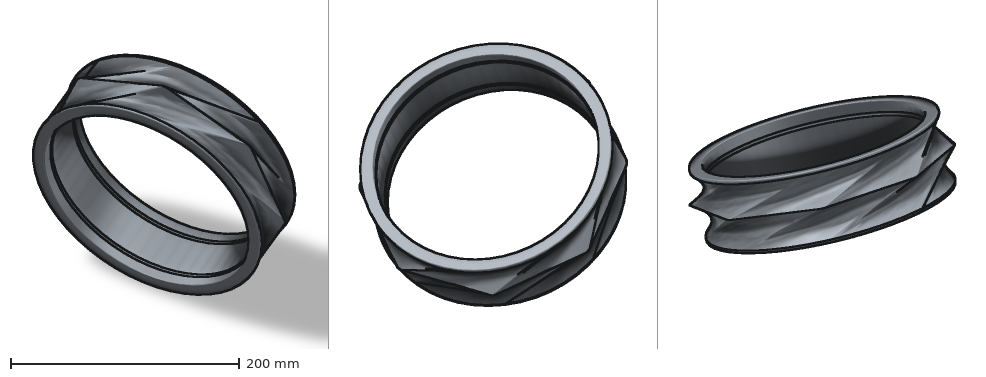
import cadquery as cq
import math

total_width = 67.48
flange_radius = 112.5
flange_width = 3.0
flange_fillet = 1.5
half_width = total_width / 2
body_half_width = half_width - flange_width

side_count = 8
pitch_angle = 360 / side_count
crest_radius = 119.44
crest_circumradius = 120.0

front_rim_lag = 1.2
back_rim_turn = pitch_angle
front_rim_turn = front_rim_lag - pitch_angle

half_pitch = math.radians(pitch_angle / 2)
corner_fillet = (crest_circumradius - crest_radius) / (1 / math.cos(half_pitch) - 1)
corner_half_chord = corner_fillet * math.sin(half_pitch)
corner_end_height = crest_circumradius - corner_half_chord * math.tan(half_pitch)
corner_end_radius = math.hypot(corner_half_chord, corner_end_height)
corner_angle = math.degrees(math.atan2(corner_half_chord, corner_end_height))

bore_radius = 100.4
bore_fillet = 1.0
groove_center = 21.3
groove_width = 3.4
groove_depth = 0.7


def point_at(radius, angle, y):
    """Point on a circle about Y; the angle runs from +Z toward +X."""
    turn = math.radians(angle)
    return cq.Vector(radius * math.sin(turn), y, radius * math.cos(turn))


def arc_between(radius, start, end, y):
    """Arc about Y from one angle to another."""
    return cq.Edge.makeThreePointArc(
        point_at(radius, start, y),
        point_at(radius, (start + end) / 2, y),
        point_at(radius, end, y),
    )


def crest_and_rim_edges(direction):
    """Matching crest and rim edges; the rim is turned by about one pitch against the crest."""
    rim_y = direction * body_half_width
    twist = back_rim_turn if direction > 0 else front_rim_turn
    pairs = []
    for corner in range(side_count):
        middle = corner * pitch_angle
        first = middle - corner_angle
        second = middle + corner_angle
        third = first + pitch_angle
        rounded_corner = cq.Edge.makeThreePointArc(
            point_at(corner_end_radius, first, 0),
            point_at(crest_radius, middle, 0),
            point_at(corner_end_radius, second, 0),
        )
        flat_side = cq.Edge.makeLine(
            point_at(corner_end_radius, second, 0),
            point_at(corner_end_radius, third, 0),
        )
        pairs.append((rounded_corner, arc_between(flange_radius, first + twist, second + twist, rim_y)))
        pairs.append((flat_side, arc_between(flange_radius, second + twist, third + twist, rim_y)))
    return pairs


def twisted_half(direction):
    """Solid between the crest at Y = 0 and one flange, bounded by straight rulings."""
    pairs = crest_and_rim_edges(direction)
    faces = [cq.Face.makeRuledSurface(crest, rim) for crest, rim in pairs]
    faces.append(cq.Face.makeFromWires(cq.Wire.assembleEdges([crest for crest, rim in pairs])))
    faces.append(cq.Face.makeFromWires(cq.Wire.assembleEdges([rim for crest, rim in pairs])))
    shell = cq.Shell.makeShell(faces)
    return cq.Workplane(obj=cq.Solid.makeSolid(shell))


def flange(direction):
    """Round end disc with its outer corner rounded."""
    disc = cq.Workplane("XZ", origin=(0, half_width, 0)).circle(flange_radius).extrude(flange_width)
    disc = disc.faces(">Y").edges().fillet(flange_fillet)
    return disc if direction > 0 else disc.mirror("XZ")


def bore_cutter():
    """Revolved bore, including the rounded mouths and both grooves."""
    mouth_radius = bore_radius + bore_fillet
    mouth_start = half_width - bore_fillet
    bend = bore_fillet * math.sqrt(0.5)
    profile = (
        cq.Workplane("XY")
        .moveTo(0, -half_width)
        .lineTo(mouth_radius, -half_width)
        .threePointArc((mouth_radius - bend, -mouth_start - bend), (bore_radius, -mouth_start))
    )
    for center in (-groove_center, groove_center):
        profile = (
            profile.lineTo(bore_radius, center - groove_width / 2)
            .threePointArc((bore_radius + groove_depth, center), (bore_radius, center + groove_width / 2))
        )
    profile = (
        profile.lineTo(bore_radius, mouth_start)
        .threePointArc((mouth_radius - bend, mouth_start + bend), (mouth_radius, half_width))
        .lineTo(0, half_width)
        .close()
    )
    return profile.revolve(360, (0, 0, 0), (0, 1, 0))


body = twisted_half(1).union(twisted_half(-1))
for side in (1, -1):
    body = body.union(flange(side))
result = body.cut(bore_cutter())